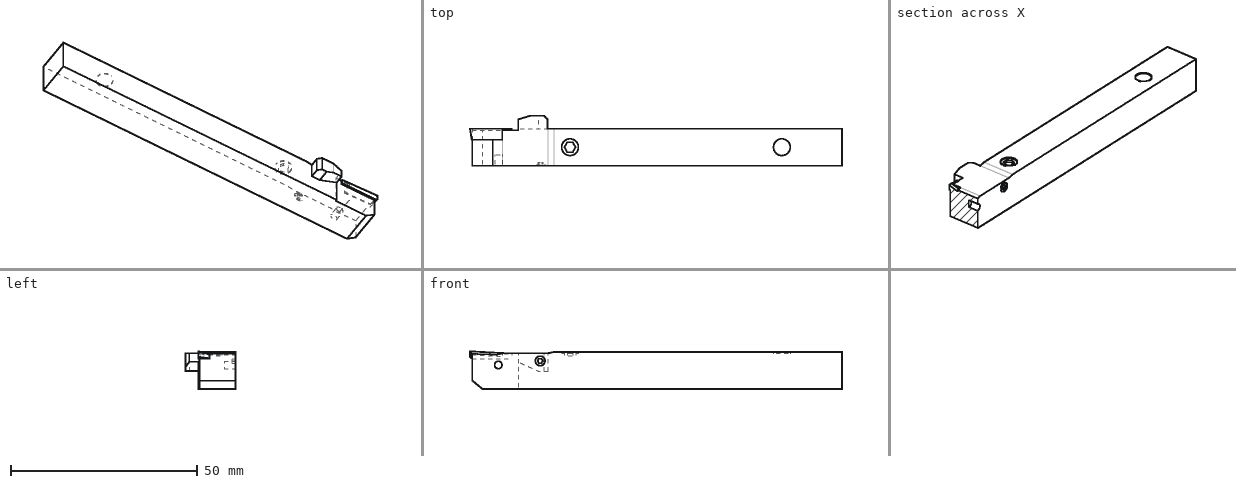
import cadquery as cq
import math

LENGTH = 100.0
SHANK_WIDTH = 10.0
SHANK_HEIGHT = 10.0
TIP_HEIGHT = 10.2
OVERALL_WIDTH = 13.5

NOSE_X = 0.65
NOSE_CHAMFER_LENGTH = 2.75
NOSE_CHAMFER_HEIGHT = 2.3
SEAT_FRONT_HEIGHT = 9.5
SEAT_BACK_HEIGHT = 9.28
SEAT_END_X = 6.1
LIP_STEP = 0.1
CLAMP_X = 8.75
CLAMP_HEIGHT = 9.65
RAMP_START_X = 20.9
RAMP_END_X = 22.5
BLADE_RELIEF = 0.4

LUG_FRONT_X = 13.0
LUG_BACK_X = RAMP_START_X
LUG_FRONT_WIDTH = 12.5
LUG_CREST_START_X = 16.3
LUG_BACK_CHAMFER = 1.0
LUG_BOTTOM = 4.85
LUG_SLOPE_TOP = 7.3
LUG_SLOPE_LENGTH = 5.4

INSERT_INNER_Y = 7.0
INSERT_INNER_HEIGHT = 9.3
INSERT_REAR_SLOPE = 0.054
INSERT_TIP_SETBACK = 0.5
INSERT_END_X = 11.3
INSERT_FLANK_BOTTOM = 8.7
INSERT_HEEL_BOTTOM = 8.2

TOP_SCREW_DIAMETER = 4.5
TOP_SCREW_SOCKET = 3.0
TOP_SCREW_Y = SHANK_WIDTH / 2
NOSE_SCREW_X = 26.9
REAR_SCREW_X = 83.8
SIDE_SCREW_X = 18.9
SIDE_SCREW_Z = 7.6
SIDE_SCREW_DIAMETER = 2.6
SIDE_SCREW_SOCKET = 1.4
PIN_HOLE_X = 7.65
PIN_HOLE_Z = 6.5
PIN_HOLE_DIAMETER = 2.0
RECESS_DEPTH = 0.3
SOCKET_DEPTH = 1.0
PIN_HOLE_DEPTH = 3.0


def side_profile(points, y_start, y_end):
    """Extrude an XZ outline from y_start to y_end."""
    return cq.Workplane("XZ", origin=(0, y_start, 0)).polyline(points).close().extrude(y_start - y_end)


def make_holder():
    """Shank and nose, with a concave lip rising from the seat to the clamp."""
    lip_start_z = SEAT_BACK_HEIGHT - LIP_STEP
    lip_length = CLAMP_X - SEAT_END_X
    lip_rise = CLAMP_HEIGHT - lip_start_z

    lip_radius = (lip_length**2 + lip_rise**2) / (2 * lip_rise)
    lip_half_angle = math.atan2(lip_rise, lip_length)
    lip_middle = (
        SEAT_END_X + lip_radius * math.sin(lip_half_angle),
        lip_start_z + lip_radius * (1 - math.cos(lip_half_angle)),
    )
    holder = (
        cq.Workplane("XZ")
        .moveTo(NOSE_X + NOSE_CHAMFER_LENGTH, 0)
        .lineTo(LENGTH, 0)
        .lineTo(LENGTH, SHANK_HEIGHT)
        .lineTo(RAMP_END_X, SHANK_HEIGHT)
        .lineTo(RAMP_START_X, CLAMP_HEIGHT)
        .lineTo(CLAMP_X, CLAMP_HEIGHT)
        .threePointArc(lip_middle, (SEAT_END_X, lip_start_z))
        .lineTo(SEAT_END_X, SEAT_BACK_HEIGHT)
        .lineTo(NOSE_X, SEAT_FRONT_HEIGHT)
        .lineTo(NOSE_X, NOSE_CHAMFER_HEIGHT)
        .close()
        .extrude(-SHANK_WIDTH)
    )
    relief = cq.Workplane("XY").box(LUG_FRONT_X, BLADE_RELIEF, SHANK_HEIGHT, centered=False)
    return holder.cut(relief.translate((0, SHANK_WIDTH - BLADE_RELIEF, 0)))


def make_lug():
    """Side lug with a tapered flank and a sloped underside at its front."""
    root_y = SHANK_WIDTH / 2
    plan = [
        (LUG_FRONT_X, root_y),
        (LUG_FRONT_X, LUG_FRONT_WIDTH),
        (LUG_CREST_START_X, OVERALL_WIDTH),
        (LUG_BACK_X - LUG_BACK_CHAMFER, OVERALL_WIDTH),
        (LUG_BACK_X, OVERALL_WIDTH - LUG_BACK_CHAMFER),
        (LUG_BACK_X, root_y),
    ]
    lug = (
        cq.Workplane("XY", origin=(0, 0, LUG_BOTTOM))
        .polyline(plan)
        .close()
        .extrude(CLAMP_HEIGHT - LUG_BOTTOM)
    )
    underside = [
        (LUG_FRONT_X, LUG_BOTTOM),
        (LUG_FRONT_X + LUG_SLOPE_LENGTH, LUG_BOTTOM),
        (LUG_FRONT_X, LUG_SLOPE_TOP),
    ]
    return lug.cut(side_profile(underside, root_y, OVERALL_WIDTH))


def make_insert_pocket():
    """Open space above the insert, in front of the clamp."""
    width = SHANK_WIDTH - INSERT_INNER_Y
    pocket = cq.Workplane("XY").box(CLAMP_X, width, TIP_HEIGHT - INSERT_FLANK_BOTTOM, centered=False)
    return pocket.translate((0, INSERT_INNER_Y, INSERT_FLANK_BOTTOM))


def make_insert():
    """Cutting insert with a skewed front edge and a top tilted toward the seat."""
    outline = [
        (0, INSERT_FLANK_BOTTOM),
        (0, TIP_HEIGHT),
        (INSERT_END_X, TIP_HEIGHT),
        (INSERT_END_X, INSERT_HEEL_BOTTOM),
        (NOSE_X, INSERT_HEEL_BOTTOM),
    ]
    insert = side_profile(outline, INSERT_INNER_Y, SHANK_WIDTH)
    skew = (
        cq.Workplane("XY")
        .polyline([(0, SHANK_WIDTH), (0, INSERT_INNER_Y), (INSERT_TIP_SETBACK, INSERT_INNER_Y)])
        .close()
        .extrude(TIP_HEIGHT)
    )

    cross_slope = (TIP_HEIGHT - INSERT_INNER_HEIGHT) / (SHANK_WIDTH - INSERT_INNER_Y)
    top_plane = cq.Plane(
        origin=(0, SHANK_WIDTH, TIP_HEIGHT),
        xDir=(1, 0, -INSERT_REAR_SLOPE),
        normal=(INSERT_REAR_SLOPE, -cross_slope, 1),
    )
    above_top = cq.Workplane(top_plane).rect(LENGTH, LENGTH).extrude(SHANK_HEIGHT)
    return insert.cut(skew).cut(above_top)


def screw_recess(plane, diameter, socket):
    """Shallow round recess with a hexagonal socket, cut inward from the plane."""
    recess = plane.circle(diameter / 2).extrude(-RECESS_DEPTH)
    return recess.union(plane.polygon(6, socket).extrude(-SOCKET_DEPTH))


def top_screw_plane(x):
    return cq.Workplane("XY", origin=(x, TOP_SCREW_Y, SHANK_HEIGHT))


def front_plane(x, z):
    return cq.Workplane("XZ", origin=(x, 0, z))


result = make_holder().cut(make_insert_pocket()).union(make_lug()).union(make_insert())
result = result.cut(screw_recess(top_screw_plane(NOSE_SCREW_X), TOP_SCREW_DIAMETER, TOP_SCREW_SOCKET))
result = result.cut(top_screw_plane(REAR_SCREW_X).circle(TOP_SCREW_DIAMETER / 2).extrude(-RECESS_DEPTH))
result = result.cut(
    screw_recess(front_plane(SIDE_SCREW_X, SIDE_SCREW_Z), SIDE_SCREW_DIAMETER, SIDE_SCREW_SOCKET)
)
pin_hole = front_plane(PIN_HOLE_X, PIN_HOLE_Z).circle(PIN_HOLE_DIAMETER / 2).extrude(-PIN_HOLE_DEPTH)
result = result.cut(pin_hole)